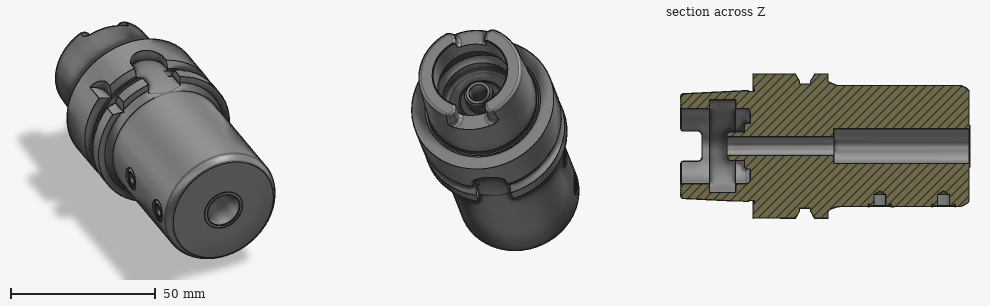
import cadquery as cq
import math

TIP_X = -25.0
END_X = 75.0
FLANGE_END_X = 26.0

TAPER_SLOPE = 1 / 20
TAPER_LARGE_R = 19.25
TAPER_LARGE_X = -2.0
TAPER_LAND_LENGTH = 0.4
TIP_FILLET = 1.0
RELIEF_R = 37.9 / 2
RELIEF_EDGE_LENGTH = 0.2
FACE_RECESS_DEPTH = 0.4
FACE_RECESS_FLOOR_R = 19.6
FACE_RECESS_MOUTH_R = 20.3

FLANGE_R = 25.0
GROOVE_R = 21.5
GROOVE_MOUTH_R = 22.6
GROOVE_CENTRE_X = 18.0
GROOVE_FLOOR_WIDTH = 3.75
GROOVE_MOUTH_WIDTH = 6.7

BODY_R = 21.0
BODY_FILLET_START_R = 22.6
BODY_FILLET_LENGTH = 3.1
NOSE_BEVEL_LENGTH = 0.4
NOSE_BEVEL_DROP = 0.1
NOSE_ARC_LENGTH = 2.4
NOSE_ARC_END_R = 19.5
NOSE_BULGE = 0.2
NOSE_EDGE_LENGTH = 0.25
NOSE_FACE_R = 19.1
END_HUB_R = 7.2
END_HUB_HEIGHT = 0.25

CAVITY_R = 26 / 2
CAVITY_MOUTH_R = 26.6 / 2
CAVITY_DEPTH = 24.0
CLAMP_RECESS_R = 32 / 2
CLAMP_RECESS_START = 10.0
CLAMP_RECESS_END = 19.0
CAVITY_FLOOR_R = 11.6
COOLANT_NUT_R = 16 / 2
COOLANT_NUT_HEIGHT = 2.0
COOLANT_TUBE_R = 10 / 2
COOLANT_TUBE_HEIGHT = 6.0
COOLANT_CHAMFER = 0.75
THROUGH_HOLE_R = 6.4 / 2

TOOL_BORE_R = 12 / 2
TOOL_BORE_DEPTH = 47.0
TOOL_BORE_CHAMFER = 0.2

DRIVE_SLOT_HALF_WIDTH = 5.2
DRIVE_SLOT_SHOULDER_Z = 16.1
DRIVE_SLOT_FLARE_R = 2.3
UPPER_DRIVE_SLOT_DEPTH = 4.3
LOWER_DRIVE_SLOT_DEPTH = 7.3
DRIVE_SLOT_FLOOR_FILLET = 1.4

MILL_R = 6.0
MILL_START_X = 12.8
FLANGE_SLOT_FLOOR_Z = BODY_R
NOTCH_WALL_Y = -15.5
NOTCH_FLOOR_Z = 15.6

SCREW_XS = (43.9, 65.9)
SCREW_R = 8 / 2
SCREW_FACE_R = 5.5 / 2
SCREW_EDGE_DEPTH = 0.9
SCREW_FACE_DEPTH = 0.2
SOCKET_MOUTH_R = 4.62 / 2
SOCKET_R = 4 / 2
SOCKET_DEPTH = 4.0
SOCKET_TIP_LENGTH = 1.2


def turned_outside():
    """Revolve the outer contour of shank, flange and body about X."""
    tip_r = TAPER_LARGE_R - TAPER_SLOPE * (TAPER_LARGE_X - TIP_X)
    floor_half = GROOVE_FLOOR_WIDTH / 2
    mouth_half = GROOVE_MOUTH_WIDTH / 2
    land_end_x = TAPER_LARGE_X + TAPER_LAND_LENGTH
    nose_face_x = END_X - END_HUB_HEIGHT
    arc_end_x = nose_face_x - NOSE_EDGE_LENGTH
    arc_start_x = arc_end_x - NOSE_ARC_LENGTH
    arc_start_r = BODY_R - NOSE_BEVEL_DROP
    arc_mid = (arc_end_x - NOSE_ARC_LENGTH / 2, (arc_start_r + NOSE_ARC_END_R) / 2 + NOSE_BULGE)
    return (
        cq.Workplane("XY")
        .moveTo(TIP_X, 0)
        .lineTo(TIP_X, tip_r)
        .lineTo(TAPER_LARGE_X, TAPER_LARGE_R)
        .lineTo(land_end_x, TAPER_LARGE_R)
        .lineTo(land_end_x + RELIEF_EDGE_LENGTH, RELIEF_R)
        .lineTo(FACE_RECESS_DEPTH, RELIEF_R)
        .lineTo(FACE_RECESS_DEPTH, FACE_RECESS_FLOOR_R)
        .lineTo(0, FACE_RECESS_MOUTH_R)
        .lineTo(0, FLANGE_R)
        .lineTo(GROOVE_CENTRE_X - mouth_half, FLANGE_R)
        .lineTo(GROOVE_CENTRE_X - floor_half, GROOVE_MOUTH_R)
        .lineTo(GROOVE_CENTRE_X - floor_half, GROOVE_R)
        .lineTo(GROOVE_CENTRE_X + floor_half, GROOVE_R)
        .lineTo(GROOVE_CENTRE_X + floor_half, GROOVE_MOUTH_R)
        .lineTo(GROOVE_CENTRE_X + mouth_half, FLANGE_R)
        .lineTo(FLANGE_END_X, FLANGE_R)
        .lineTo(FLANGE_END_X, BODY_FILLET_START_R)
        .threePointArc(body_fillet_middle(), (FLANGE_END_X + BODY_FILLET_LENGTH, BODY_R))
        .lineTo(arc_start_x - NOSE_BEVEL_LENGTH, BODY_R)
        .lineTo(arc_start_x, arc_start_r)
        .threePointArc(arc_mid, (arc_end_x, NOSE_ARC_END_R))
        .lineTo(nose_face_x, NOSE_FACE_R)
        .lineTo(nose_face_x, END_HUB_R)
        .lineTo(END_X, END_HUB_R)
        .lineTo(END_X, 0)
        .close()
        .revolve(360, (0, 0, 0), (1, 0, 0))
    )


def body_fillet_middle():
    """Middle point of the concave arc that runs tangentially into the body."""
    rise = BODY_FILLET_START_R - BODY_R
    radius = (BODY_FILLET_LENGTH**2 + rise**2) / (2 * rise)
    half_angle = math.asin(BODY_FILLET_LENGTH / radius) / 2
    x = FLANGE_END_X + BODY_FILLET_LENGTH - radius * math.sin(half_angle)
    return x, BODY_R + radius * (1 - math.cos(half_angle))


def turned_inside():
    """Revolve the cavity around the coolant tube, the through hole and the tool bore about X."""
    mouth_chamfer = CAVITY_MOUTH_R - CAVITY_R
    floor_x = TIP_X + CAVITY_DEPTH
    floor_fillet = CAVITY_R - CAVITY_FLOOR_R
    fillet_inset = floor_fillet * (1 - math.sqrt(0.5))
    recess_start_x = TIP_X + CLAMP_RECESS_START
    recess_end_x = TIP_X + CLAMP_RECESS_END
    nut_x = floor_x - COOLANT_NUT_HEIGHT
    tube_x = nut_x - COOLANT_TUBE_HEIGHT
    bore_x = END_X - TOOL_BORE_DEPTH
    return (
        cq.Workplane("XY")
        .moveTo(TIP_X, 0)
        .lineTo(TIP_X, CAVITY_MOUTH_R)
        .lineTo(TIP_X + mouth_chamfer, CAVITY_R)
        .lineTo(recess_start_x, CAVITY_R)
        .lineTo(recess_start_x, CLAMP_RECESS_R)
        .lineTo(recess_end_x, CLAMP_RECESS_R)
        .lineTo(recess_end_x, CAVITY_R)
        .lineTo(floor_x - floor_fillet, CAVITY_R)
        .threePointArc((floor_x - fillet_inset, CAVITY_R - fillet_inset), (floor_x, CAVITY_FLOOR_R))
        .lineTo(floor_x, COOLANT_NUT_R)
        .lineTo(nut_x + COOLANT_CHAMFER, COOLANT_NUT_R)
        .lineTo(nut_x, COOLANT_NUT_R - COOLANT_CHAMFER)
        .lineTo(nut_x, COOLANT_TUBE_R)
        .lineTo(tube_x + COOLANT_CHAMFER, COOLANT_TUBE_R)
        .lineTo(tube_x, COOLANT_TUBE_R - COOLANT_CHAMFER)
        .lineTo(tube_x, THROUGH_HOLE_R)
        .lineTo(bore_x, THROUGH_HOLE_R)
        .lineTo(bore_x, TOOL_BORE_R)
        .lineTo(END_X - TOOL_BORE_CHAMFER, TOOL_BORE_R)
        .lineTo(END_X, TOOL_BORE_R + TOOL_BORE_CHAMFER)
        .lineTo(END_X, 0)
        .close()
        .revolve(360, (0, 0, 0), (1, 0, 0))
    )


def drive_slot(depth, side):
    """Open slot in the shank tip whose side walls flare outwards; side is +1 or -1 along Z."""
    flare_z = DRIVE_SLOT_SHOULDER_Z - DRIVE_SLOT_FLARE_R
    flare_y = DRIVE_SLOT_HALF_WIDTH + DRIVE_SLOT_FLARE_R
    along = DRIVE_SLOT_FLARE_R * math.sqrt(0.5)
    arc_y = flare_y - along
    arc_z = flare_z + along
    return (
        cq.Workplane("YZ", origin=(TIP_X, 0, 0))
        .moveTo(-DRIVE_SLOT_HALF_WIDTH, 0)
        .lineTo(-DRIVE_SLOT_HALF_WIDTH, side * flare_z)
        .threePointArc((-arc_y, side * arc_z), (-flare_y, side * DRIVE_SLOT_SHOULDER_Z))
        .lineTo(-FLANGE_R, side * DRIVE_SLOT_SHOULDER_Z)
        .lineTo(-FLANGE_R, side * FLANGE_R)
        .lineTo(FLANGE_R, side * FLANGE_R)
        .lineTo(FLANGE_R, side * DRIVE_SLOT_SHOULDER_Z)
        .lineTo(flare_y, side * DRIVE_SLOT_SHOULDER_Z)
        .threePointArc((arc_y, side * arc_z), (DRIVE_SLOT_HALF_WIDTH, side * flare_z))
        .lineTo(DRIVE_SLOT_HALF_WIDTH, 0)
        .close()
        .extrude(depth)
        .faces(">X")
        .edges("not(>Z or <Z)")
        .fillet(DRIVE_SLOT_FLOOR_FILLET)
    )


def milled_slot(centre_y, floor_z, height):
    """Round-ended mill path from MILL_START_X out past the flange, rising from floor_z."""
    length = FLANGE_END_X + BODY_FILLET_LENGTH - MILL_START_X
    path = (
        cq.Workplane("XY", origin=(MILL_START_X, centre_y, floor_z))
        .circle(MILL_R)
        .extrude(height)
    )
    run = (
        cq.Workplane("XY", origin=(MILL_START_X + length / 2, centre_y, floor_z))
        .rect(length, 2 * MILL_R)
        .extrude(height)
    )
    return path.union(run)


def screw_recess(x):
    """Space around a bevelled clamping screw entering from -Y, with its cone-bottomed socket."""
    face_y = -BODY_R + SCREW_FACE_DEPTH
    socket_y = face_y + SOCKET_DEPTH
    contour = [
        (x, -FLANGE_R),
        (x + SCREW_R, -FLANGE_R),
        (x + SCREW_R, -BODY_R + SCREW_EDGE_DEPTH),
        (x + SCREW_FACE_R, face_y),
        (x + SOCKET_MOUTH_R, face_y),
        (x + SOCKET_R, face_y + SOCKET_MOUTH_R - SOCKET_R),
        (x + SOCKET_R, socket_y),
        (x, socket_y + SOCKET_TIP_LENGTH),
    ]
    return cq.Workplane("XY").polyline(contour).close().revolve(360, (x, 0, 0), (x, 1, 0))


result = turned_outside()

result = result.cut(drive_slot(UPPER_DRIVE_SLOT_DEPTH, 1))
result = result.cut(drive_slot(LOWER_DRIVE_SLOT_DEPTH, -1))
result = result.faces("<X").edges().fillet(TIP_FILLET)

result = result.cut(turned_inside())

slot_height = FLANGE_R - FLANGE_SLOT_FLOOR_Z
result = result.cut(milled_slot(0, FLANGE_SLOT_FLOOR_Z, slot_height))
result = result.cut(milled_slot(0, -FLANGE_R, slot_height))
result = result.cut(milled_slot(NOTCH_WALL_Y - MILL_R, NOTCH_FLOOR_Z, FLANGE_R - NOTCH_FLOOR_Z))

for screw_x in SCREW_XS:
    result = result.cut(screw_recess(screw_x))